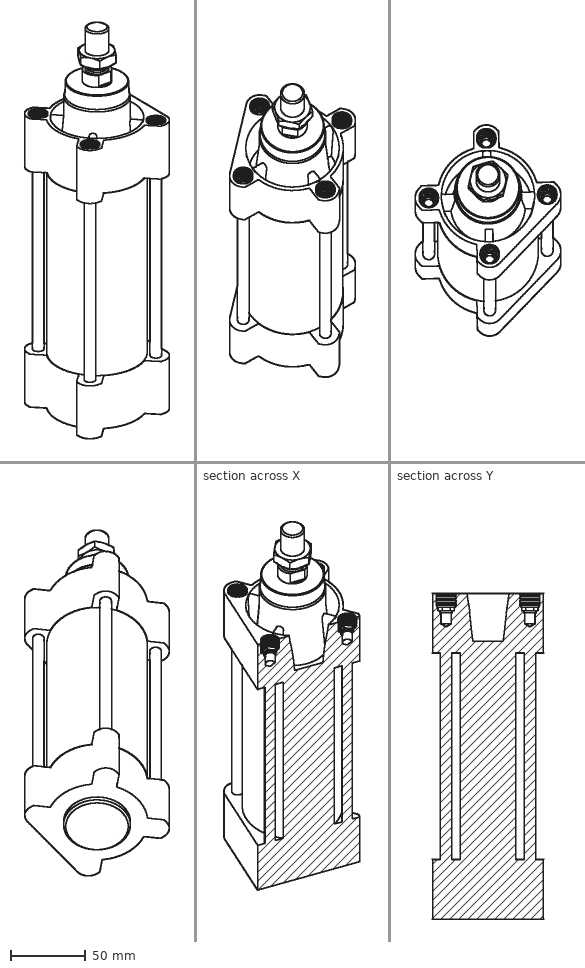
import cadquery as cq
import math

total_height = 293.0

cap_width = 75.0
cap_height = 40.5
rear_cap_bottom = 4.5
front_cap_top = 224.5
barrel_diameter = 68.0
cap_diameter = 68.5
tie_rod_pitch = 56.5
lug_width = 17.0
lug_blend = 1.0
edge_tolerance = 0.03
lug_radius = (cap_width - tie_rod_pitch) / 2

tie_rod_diameter = 8.0
nut_bore_diameter = 12.0
nut_bore_depth = 9.5
groove_diameter = 13.2
groove_count = 4
nut_socket_width = 9.5
nut_socket_depth = 11.7
nut_counterbore_diameter = 8.0
nut_counterbore_depth = 13.2
nut_drill_diameter = 6.7
nut_drill_depth = 20.5
drill_tip_angle = 118.0

collar_diameter = 45.0
collar_chamfer = 1.5
boss_top = 252.0
boss_shoulder = 240.0
boss_shoulder_chamfer = 1.5
boss_neck_diameter = 43.7
boss_top_diameter = 42.8
boss_top_chamfer = 0.5
recess_diameter = 63.0
recess_floor_diameter = 59.8
hub_base_diameter = 50.5
recess_depth = 32.2
rib_width = 5.3
rib_drop = 1.0
rib_rounding = 2.3

rod_diameter = 20.0
rod_shoulder = 261.2
flats_bottom = 253.0
flats_width = 17.0
relief_diameter = 13.8
relief_bottom = 262.0
relief_top = 263.5
thread_diameter = 16.0
thread_bottom = 265.3
thread_chamfer = 1.2

nut_top = 275.2
nut_height = 8.0
nut_width = 24.0

front_cap_bottom = front_cap_top - cap_height
rear_cap_top = rear_cap_bottom + cap_height
corners = [(sx * tie_rod_pitch / 2, sy * tie_rod_pitch / 2) for sx in (-1, 1) for sy in (-1, 1)]


def cylinder(diameter, bottom, top):
    return cq.Workplane("XY").workplane(offset=bottom).circle(diameter / 2).extrude(top - bottom)


def revolve(points):
    """Solid of revolution about Z from (radius, height) points."""
    return cq.Workplane("XZ").polyline(points).close().revolve(360, (0, 0), (0, 1))


def round_lug_edges(cap):
    """Blend the upright edges along both sides of each lug, all at one distance from its diagonal."""
    sharp = []
    for edge in cap.edges("|Z").vals():
        point = edge.Center()
        side_distance = abs(abs(point.x) - abs(point.y)) / math.sqrt(2)
        if abs(side_distance - lug_width / 2) < edge_tolerance:
            sharp.append(edge)
    return cap.newObject(sharp).fillet(lug_blend)


def make_cap(bottom):
    """Round cap with four diagonal lugs and a flat, filled +Y side."""
    plane = cq.Workplane("XY").workplane(offset=bottom)
    square = plane.rect(cap_width, cap_width).extrude(cap_height).edges("|Z").fillet(lug_radius)
    shape = cylinder(cap_diameter, bottom, bottom + cap_height)
    for angle in (45, -45):
        bar = plane.rect(2 * cap_width, lug_width).extrude(cap_height)
        shape = shape.union(bar.rotate((0, 0, 0), (0, 0, 1), angle))
    flat_side = plane.center(0, cap_width / 2).rect(tie_rod_pitch, 2 * lug_radius).extrude(cap_height)
    cap = square.intersect(shape.union(flat_side).clean())
    return round_lug_edges(cap)


def make_recess():
    """Tapered annular pocket around the hub, crossed by four diagonal ribs."""
    floor = front_cap_top - recess_depth
    pocket = revolve([
        (collar_diameter / 2, front_cap_top),
        (recess_diameter / 2, front_cap_top),
        (recess_floor_diameter / 2, floor),
        (hub_base_diameter / 2, floor),
    ])
    rib_top = front_cap_top - rib_drop
    for angle in (45, -45):
        rib = cq.Workplane("XY").workplane(offset=floor).rect(cap_width, rib_width).extrude(rib_top - floor)
        rib = rib.edges("|X and >Z").fillet(rib_rounding)
        pocket = pocket.cut(rib.rotate((0, 0, 0), (0, 0, 1), angle))
    return pocket


def sunk(diameter, depth):
    """Cylinder reaching down from the top of the front cap."""
    return cylinder(diameter, front_cap_top - depth, front_cap_top)


def make_nut_hole():
    """Grooved bore, hexagon socket and drilled hole, sunk from the top of the front cap."""
    hole = sunk(nut_bore_diameter, nut_bore_depth)
    groove_pitch = nut_bore_depth / groove_count
    for index in range(groove_count):
        groove_top = front_cap_top - index * groove_pitch
        hole = hole.union(cylinder(groove_diameter, groove_top - groove_pitch / 2, groove_top))

    socket = cq.Workplane("XY").workplane(offset=front_cap_top - nut_socket_depth)
    socket = socket.polygon(6, nut_socket_width / math.cos(math.pi / 6)).extrude(nut_socket_depth)
    hole = hole.union(socket)

    hole = hole.union(sunk(nut_counterbore_diameter, nut_counterbore_depth))
    hole = hole.union(sunk(nut_drill_diameter, nut_drill_depth))
    drill_bottom = front_cap_top - nut_drill_depth
    drill_radius = nut_drill_diameter / 2
    tip_height = drill_radius / math.tan(math.radians(drill_tip_angle / 2))
    tip = revolve([(0, drill_bottom), (drill_radius, drill_bottom), (0, drill_bottom - tip_height)])
    return hole.union(tip)


def make_housing():
    housing = make_cap(rear_cap_bottom).union(make_cap(front_cap_bottom))
    housing = housing.union(cylinder(barrel_diameter, rear_cap_top, front_cap_bottom))
    rear_collar = cylinder(collar_diameter, 0, rear_cap_bottom).faces("<Z").chamfer(collar_chamfer)
    boss = revolve([
        (0, front_cap_top),
        (collar_diameter / 2, front_cap_top),
        (collar_diameter / 2, boss_shoulder),
        (boss_neck_diameter / 2, boss_shoulder + boss_shoulder_chamfer),
        (boss_top_diameter / 2, boss_top - boss_top_chamfer),
        (boss_top_diameter / 2 - boss_top_chamfer, boss_top),
        (0, boss_top),
    ])
    housing = housing.union(rear_collar).union(boss).cut(make_recess())
    nut_hole = make_nut_hole()
    for x, y in corners:
        tie_rod = cylinder(tie_rod_diameter, rear_cap_top, front_cap_bottom).translate((x, y, 0))
        housing = housing.union(tie_rod).cut(nut_hole.translate((x, y, 0)))
    return housing.cut(cylinder(rod_diameter, front_cap_bottom, boss_top))


def make_piston_rod():
    thread_radius = thread_diameter / 2
    rod = revolve([
        (0, front_cap_bottom),
        (rod_diameter / 2, front_cap_bottom),
        (rod_diameter / 2, rod_shoulder),
        (thread_radius, rod_shoulder),
        (relief_diameter / 2, relief_bottom),
        (relief_diameter / 2, relief_top),
        (thread_radius, thread_bottom),
        (thread_radius, total_height - thread_chamfer),
        (thread_radius - thread_chamfer, total_height),
        (0, total_height),
    ])
    flats = cq.Workplane("XY").workplane(offset=flats_bottom)
    flats = flats.rect(flats_width, rod_diameter).extrude(rod_shoulder - flats_bottom)
    return rod.cut(cylinder(rod_diameter, flats_bottom, rod_shoulder).cut(flats))


def make_lock_nut():
    """Hexagon nut with conically chamfered corners."""
    nut_bottom = nut_top - nut_height
    corner_diameter = nut_width / math.cos(math.pi / 6)
    hexagon = cq.Workplane("XY").workplane(offset=nut_bottom)
    hexagon = hexagon.polygon(6, corner_diameter).extrude(nut_height)
    hexagon = hexagon.rotate((0, 0, 0), (0, 0, 1), 30)
    corner_depth = (corner_diameter - nut_width) / 2
    blank = cylinder(corner_diameter, nut_bottom, nut_top)
    blank = blank.faces("<Z or >Z").chamfer(corner_depth * math.tan(math.pi / 6), corner_depth)
    return hexagon.intersect(blank).cut(cylinder(thread_diameter, nut_bottom, nut_top))


housing = make_housing()
piston_rod = make_piston_rod()
lock_nut = make_lock_nut()
result = cq.Compound.makeCompound([housing.val(), piston_rod.val(), lock_nut.val()])